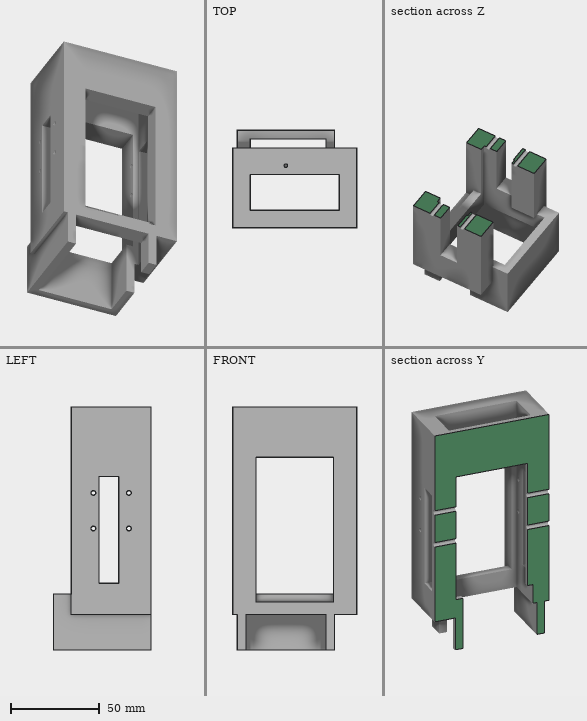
import cadquery as cq

BODY_X = 70.0
BODY_Y = 45.0
BODY_Z = 117.0

SHAFT_X = (10.0, 60.0)
SHAFT_Y = (10.0, 30.0)

WINDOW_X = (13.25, 56.75)
WINDOW_TOP = 88.5
SILL_OUTER_Z = 7.0
SILL_STEP_Y = 5.0

BRACKET_X = (2.5, 57.5)
BRACKET_Y = 55.0
BRACKET_TOP = 11.75
BRACKET_BOTTOM = -20.0
LEG_THICKNESS = 5.0
BACK_PLATE = 5.0

SLOT_Y = (18.25, 29.25)
SLOT_Z = (17.75, 77.75)
SCREW_DIAMETER = 2.5
SCREW_Y = 12.5
SCREW_Z = 48.5
SCREW_PITCH = 20.0

PIN_DIAMETER = 2.0
PIN_DEPTH = 10.0
PIN_X = 30.0
PIN_Y = 35.0


def block(x_range, y_range, z_range):
    """Box spanning the given (low, high) ranges."""
    sizes = [high - low for low, high in (x_range, y_range, z_range)]
    corner = (x_range[0], y_range[0], z_range[0])
    return cq.Workplane("XY").box(*sizes, centered=False).translate(corner)


def housing():
    return block((0, BODY_X), (0, BODY_Y), (0, BODY_Z))


def bracket():
    return block(BRACKET_X, (0, BRACKET_Y), (BRACKET_BOTTOM, BRACKET_TOP))


def shaft():
    return block(SHAFT_X, SHAFT_Y, (BRACKET_BOTTOM, BODY_Z))


def bracket_opening():
    """Space between the bracket legs, narrower on the left where it enters the housing."""
    inner_left = BRACKET_X[0] + LEG_THICKNESS
    inner_right = BRACKET_X[1] - LEG_THICKNESS
    inner_back = BRACKET_Y - BACK_PLATE
    lower = block((inner_left, inner_right), (0, inner_back), (BRACKET_BOTTOM, 0))
    upper = block((SHAFT_X[0], inner_right), (SHAFT_Y[1], inner_back), (0, BRACKET_TOP))
    return lower.union(upper)


def window():
    through = block(WINDOW_X, (0, BODY_Y), (BRACKET_TOP, WINDOW_TOP))
    outer_sill = block(WINDOW_X, (0, SILL_STEP_Y), (SILL_OUTER_Z, BRACKET_TOP))
    return through.union(outer_sill)


def side_slots():
    return block((0, BODY_X), SLOT_Y, SLOT_Z)


def screw_holes():
    hole_points = [
        (SCREW_Y + SCREW_PITCH * column, SCREW_Z + SCREW_PITCH * row)
        for column in range(2)
        for row in range(2)
    ]
    return cq.Workplane("YZ").pushPoints(hole_points).circle(SCREW_DIAMETER / 2).extrude(BODY_X)


def pin_hole():
    top_plane = cq.Workplane("XY", origin=(PIN_X, PIN_Y, BODY_Z))
    return top_plane.circle(PIN_DIAMETER / 2).extrude(-PIN_DEPTH)


result = housing().union(bracket())
for cutter in (shaft(), bracket_opening(), window(), side_slots(), screw_holes(), pin_hole()):
    result = result.cut(cutter)